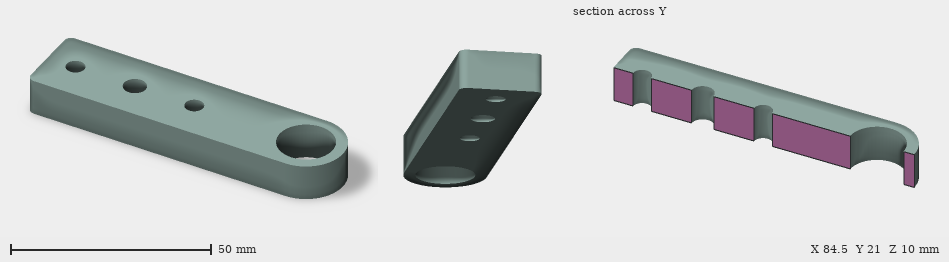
import cadquery as cq

length = 84.5
width = 21.0
thickness = 10.0
corner_radius = 2.0
end_radius = width / 2

bore_x = length - end_radius
bore_diameter = 15.0

first_hole_x = 8.0
hole_spacing = 17.0
outer_hole_diameter = 5.0
middle_hole_diameter = 6.1
row_diameters = [outer_hole_diameter, middle_hole_diameter, outer_hole_diameter]


def arm_body():
    """Bar with small corner rounds at X = 0 and a full round at the far end."""
    half_width = width / 2
    body = (
        cq.Workplane("XY")
        .moveTo(0, -half_width)
        .lineTo(bore_x, -half_width)
        .threePointArc((length, 0), (bore_x, half_width))
        .lineTo(0, half_width)
        .close()
        .extrude(thickness)
    )
    return body.edges("|Z and <X").fillet(corner_radius)


def through_hole(x, diameter):
    """Cutter for a hole on the centreline through the full thickness."""
    return cq.Workplane("XY").center(x, 0).circle(diameter / 2).extrude(thickness)


result = arm_body().cut(through_hole(bore_x, bore_diameter))
for index, diameter in enumerate(row_diameters):
    result = result.cut(through_hole(first_hole_x + index * hole_spacing, diameter))